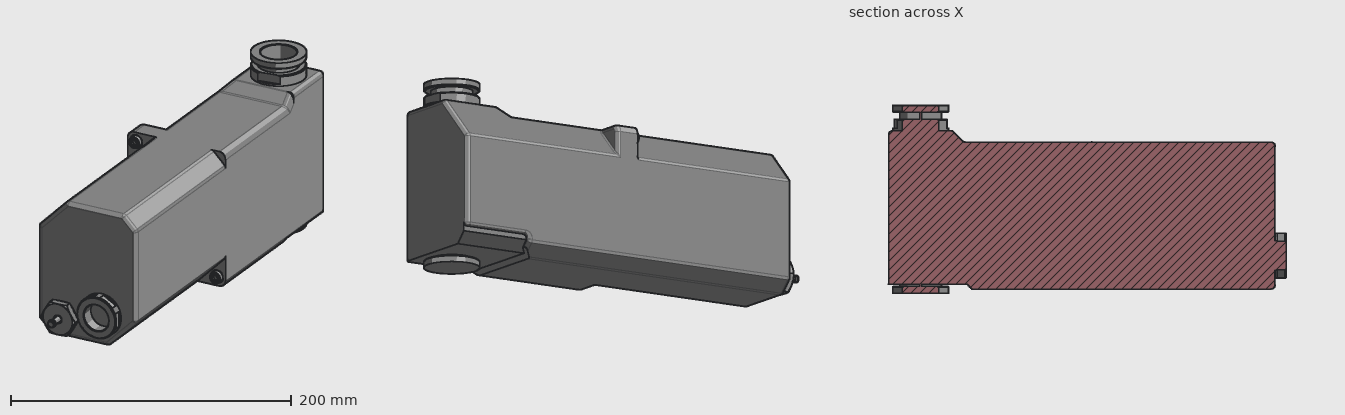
import cadquery as cq
import math

WIDTH = 80.0
LENGTH = 275.5
HEIGHT = 105.0
TALL_HEIGHT = 113.0

ROOT_RADIUS = 1.0
STEP_HEAD_RADIUS = 1.0
STEP_FOOT_RADIUS = 2.0
COVER_LENGTH = 130.5
LUG_BACK = 148.0
BIG_CHAMFER = 23.0
COVER_CHAMFER = 10.5
LOWER_CHAMFER = 10.0
STEP_FOOT = 222.0

EDGE_RADIUS = 3.0
CORNER_RADIUS = 5.3
TALL_CORNER_RADIUS = 3.5

RECESS_DEPTH = 3.5
RECESS_START = 215.8
RECESS_WALL = 222.5
RECESS_TOP = 15.2
RECESS_LIP_RADIUS = 2.5

HEX_SIDES = 6
HALF_HEX_ANGLE = 180 / HEX_SIDES

SCREW_INSET = 7.0
SCREW_HEAD_DIAMETER = 8.5
SCREW_HEAD_HEIGHT = 3.5
SCREW_SEAT_DIAMETER = 9.8
SCREW_SEAT_DEPTH = 1.0
SCREW_HEAD_CHAMFER = 0.7
SCREW_SOCKET_DIAMETER = 5.0
SCREW_SOCKET_DEPTH = 2.5

GLAND_X = 55.0
GLAND_Y = LENGTH - 23.0
GLAND_DIAMETER = 40.0
GLAND_NECK_DIAMETER = 30.0
GLAND_BORE = 26.0
GLAND_BORE_DEPTH = 22.0
BORE_CHAMFER = 0.5
GLAND_TOP = 131.0
GLAND_BOTTOM = -2.86
FLANGE_HEIGHT = 5.0
FLANGE_CHAMFER = 0.8
COLLAR_HEIGHT = 8.2
COLLAR_FLAT_START = 1.5
COLLAR_TURN = 7.0
COLLAR_FLAT_DISTANCE = 18.0

PLUG_X = 52.0
PLUG_Z = 24.0
PLUG_DIAMETER = 32.0
PLUG_LENGTH = 8.0
PLUG_BORE = 20.0
PLUG_BORE_DEPTH = 10.0
PLUG_ACROSS_FLATS = 29.8
PLUG_FLAT_START = 1.5
PLUG_FLAT_LENGTH = 5.5
PLUG_CHAMFER = 0.7

HEX_X = 20.0
HEX_Z = 15.6
HEX_ACROSS_FLATS = 24.0
HEX_WASHER_DIAMETER = 22.6
HEX_WASHER_THICKNESS = 0.8
HEX_FACE = 7.0
HEX_CHAMFER_DIAMETER = 23.8
HEX_CHAMFER_HEIGHT = 1.0
PIN_SEAT_DIAMETER = 6.3
PIN_SEAT_DEPTH = 1.0
PIN_DIAMETER = 4.7
PIN_HEAD_DIAMETER = 5.5
PIN_HEAD_LENGTH = 3.0
PIN_TIP_CHAMFER = 1.2
PIN_LENGTH = 17.5

SLOPE_BASE = HEIGHT - BIG_CHAMFER
STEP_HEAD = STEP_FOOT + TALL_HEIGHT - HEIGHT


def prism_along_y(points, start, end):
    """Extrude an XZ outline from Y = start to Y = end."""
    return cq.Workplane("XZ", origin=(0, start, 0)).polyline(points).close().extrude(start - end)


def cylinder_forward(x, z, diameter, start, length):
    """Cylinder along -Y that starts at Y = start."""
    return cq.Workplane("XZ", origin=(x, start, z)).circle(diameter / 2).extrude(length)


def round_edges(solid, radius, midpoints):
    """Fillet the edges whose middles are nearest to the given points."""
    picked = [solid.edges(cq.selectors.NearestToPointSelector(point)).val() for point in midpoints]
    return solid.newObject(picked).fillet(radius)


def make_block():
    """Housing with its slopes, before rounding."""
    side = [
        (0, 0), (LENGTH, 0), (LENGTH, TALL_HEIGHT), (STEP_HEAD, TALL_HEIGHT), (STEP_FOOT, HEIGHT), (0, HEIGHT),
    ]
    block = cq.Workplane("YZ").polyline(side).close().extrude(WIDTH)
    tall_run = TALL_HEIGHT - SLOPE_BASE
    upper_left = [(0, SLOPE_BASE), (tall_run, TALL_HEIGHT), (0, TALL_HEIGHT)]
    lower_left = [(0, 0), (LOWER_CHAMFER, 0), (0, LOWER_CHAMFER)]
    upper_right = [(WIDTH - COVER_CHAMFER, HEIGHT), (WIDTH, HEIGHT), (WIDTH, HEIGHT - COVER_CHAMFER)]
    lower_right = [(WIDTH - BIG_CHAMFER, 0), (WIDTH, 0), (WIDTH, BIG_CHAMFER)]
    block = block.cut(prism_along_y(lower_left, 0, LENGTH))
    block = block.cut(prism_along_y(upper_left, LUG_BACK, LENGTH))
    for outline in (upper_left, upper_right, lower_right):
        block = block.cut(prism_along_y(outline, 0, COVER_LENGTH))
    return block


def round_block(block, corner_radius):
    """Round the corners, the lugs and all long edges of the housing."""
    slope_middle = BIG_CHAMFER / 2
    step_middle = (STEP_FOOT + STEP_HEAD) / 2
    step_height = (HEIGHT + TALL_HEIGHT) / 2
    slope_top = TALL_HEIGHT - SLOPE_BASE
    step_slope_x = (BIG_CHAMFER + slope_top) / 2
    cover_middle = COVER_LENGTH / 2
    lug_middle = (COVER_LENGTH + LUG_BACK) / 2
    tall_middle = (STEP_HEAD + LENGTH) / 2
    side_middle = (LOWER_CHAMFER + SLOPE_BASE) / 2
    right_middle = (BIG_CHAMFER + HEIGHT - COVER_CHAMFER) / 2

    block = round_edges(block, corner_radius, [
        (WIDTH, (COVER_LENGTH + STEP_FOOT) / 2, HEIGHT),
        (WIDTH, step_middle, step_height),
        (WIDTH, tall_middle, TALL_HEIGHT),
        (0, lug_middle, HEIGHT),
        (WIDTH, (COVER_LENGTH + LENGTH) / 2, 0),
    ])
    front_edges = [
        (0, 0, side_middle),
        (LOWER_CHAMFER / 2, 0, LOWER_CHAMFER / 2),
        ((LOWER_CHAMFER + WIDTH - BIG_CHAMFER) / 2, 0, 0),
        (WIDTH - slope_middle, 0, slope_middle),
        (WIDTH, 0, right_middle),
        (WIDTH - COVER_CHAMFER / 2, 0, HEIGHT - COVER_CHAMFER / 2),
        ((BIG_CHAMFER + WIDTH - COVER_CHAMFER) / 2, 0, HEIGHT),
        (slope_middle, 0, HEIGHT - slope_middle),
    ]
    cover_edges = [
        (0, cover_middle, SLOPE_BASE),
        (BIG_CHAMFER, cover_middle, HEIGHT),
        (WIDTH - COVER_CHAMFER, cover_middle, HEIGHT),
        (WIDTH, cover_middle, HEIGHT - COVER_CHAMFER),
        (WIDTH, cover_middle, BIG_CHAMFER),
        (WIDTH - BIG_CHAMFER, cover_middle, 0),
        (0, LENGTH / 2, LOWER_CHAMFER),
        (LOWER_CHAMFER, LENGTH / 2, 0),
    ]
    rear_edges = [
        (0, LENGTH, side_middle),
        (slope_top / 2, LENGTH, SLOPE_BASE + slope_top / 2),
        ((slope_top + WIDTH) / 2, LENGTH, TALL_HEIGHT),
        (WIDTH, LENGTH, TALL_HEIGHT / 2),
    ]
    tall_edges = [
        (0, (LUG_BACK + LENGTH) / 2, SLOPE_BASE),
        (BIG_CHAMFER, (LUG_BACK + STEP_FOOT) / 2, HEIGHT),
        (step_slope_x, step_middle, step_height),
        (slope_top, tall_middle, TALL_HEIGHT),
    ]
    lug_edges = [
        (0, LUG_BACK, (SLOPE_BASE + HEIGHT) / 2),
        (slope_middle, LUG_BACK, HEIGHT),
    ]
    block = round_edges(block, EDGE_RADIUS, front_edges + cover_edges + rear_edges + tall_edges + lug_edges)
    block = round_edges(block, STEP_HEAD_RADIUS, [((slope_top + WIDTH) / 2, STEP_HEAD, TALL_HEIGHT)])
    block = round_edges(block, STEP_FOOT_RADIUS, [((BIG_CHAMFER + WIDTH) / 2, STEP_FOOT, HEIGHT)])
    cover_root = (slope_middle, COVER_LENGTH, HEIGHT - slope_middle)
    lug_back_root = (slope_middle, LUG_BACK, HEIGHT - slope_middle)
    block = round_edges(block, ROOT_RADIUS, [cover_root, lug_back_root])
    return block


def make_housing():
    """Rounded housing whose tall end has a tighter upper right corner than the rest."""
    housing = round_block(make_block(), CORNER_RADIUS)
    tighter = round_block(make_block(), TALL_CORNER_RADIUS)
    tall_end = cq.Workplane("XY", origin=(0, STEP_HEAD, HEIGHT)).box(
        WIDTH, LENGTH - STEP_HEAD, TALL_HEIGHT - HEIGHT, centered=False)
    return housing.union(tighter.intersect(tall_end))


def cut_recess(body):
    """Set back the underside, the lower slope and the foot of the left side below the tall end."""
    slope_end = RECESS_WALL - RECESS_START
    side = [
        (RECESS_START - RECESS_DEPTH, -RECESS_DEPTH), (RECESS_WALL, slope_end), (RECESS_WALL, RECESS_TOP),
        (LENGTH, RECESS_TOP), (LENGTH, -RECESS_DEPTH),
    ]
    cutter = cq.Workplane("YZ").polyline(side).close().extrude(WIDTH)
    cutter = cutter.edges("|X").edges(cq.selectors.NearestToPointSelector((WIDTH / 2, RECESS_WALL, RECESS_TOP)))
    cutter = cutter.fillet(EDGE_RADIUS)
    inset_chamfer = LOWER_CHAMFER + RECESS_DEPTH * (math.sqrt(2) - 1)
    kept = [
        (inset_chamfer, RECESS_DEPTH), (WIDTH, RECESS_DEPTH), (WIDTH, HEIGHT), (RECESS_DEPTH, HEIGHT),
        (RECESS_DEPTH, inset_chamfer),
    ]
    body = body.cut(cutter.cut(prism_along_y(kept, 0, LENGTH)))
    return round_edges(body, RECESS_LIP_RADIUS, [
        (0, (RECESS_WALL + LENGTH) / 2, RECESS_TOP),
        (0, RECESS_WALL, (LOWER_CHAMFER + RECESS_TOP) / 2),
    ])


def gland_cylinder(diameter, z_low, z_high):
    """Upright cylinder on the gland axis."""
    return cq.Workplane("XY", origin=(GLAND_X, GLAND_Y, z_low)).circle(diameter / 2).extrude(z_high - z_low)


def add_top_gland(body):
    """Collar with two flats, neck and flange on top of the tall end, with a blind bore."""
    collar_top = TALL_HEIGHT + COLLAR_HEIGHT
    ring_size = 2 * GLAND_DIAMETER
    flats = (
        cq.Workplane("XY", origin=(GLAND_X, GLAND_Y, TALL_HEIGHT + COLLAR_FLAT_START))
        .transformed(rotate=(0, 0, COLLAR_TURN))
        .rect(ring_size, ring_size).rect(ring_size, 2 * COLLAR_FLAT_DISTANCE).extrude(COLLAR_HEIGHT)
    )
    collar = gland_cylinder(GLAND_DIAMETER, TALL_HEIGHT, collar_top)
    collar = collar.faces(">Z").chamfer(FLANGE_CHAMFER).cut(flats)
    neck = gland_cylinder(GLAND_NECK_DIAMETER, TALL_HEIGHT, GLAND_TOP)
    rim = gland_cylinder(GLAND_DIAMETER, GLAND_TOP - FLANGE_HEIGHT, GLAND_TOP)
    rim = rim.faces("<Z").chamfer(FLANGE_CHAMFER)
    bore = gland_cylinder(GLAND_BORE, GLAND_TOP - GLAND_BORE_DEPTH, GLAND_TOP)
    mouth = (
        cq.Workplane("XY", origin=(GLAND_X, GLAND_Y, GLAND_TOP))
        .circle(GLAND_BORE / 2 + BORE_CHAMFER).extrude(-BORE_CHAMFER, taper=45)
    )
    return body.union(collar).union(neck).union(rim).cut(bore).cut(mouth)


def add_bottom_gland(body):
    """Neck and flange below the recess."""
    neck = gland_cylinder(GLAND_NECK_DIAMETER, GLAND_BOTTOM, RECESS_DEPTH)
    rim = gland_cylinder(GLAND_DIAMETER, GLAND_BOTTOM, GLAND_BOTTOM + FLANGE_HEIGHT)
    rim = rim.faces(">Z").chamfer(FLANGE_CHAMFER)
    return body.union(neck).union(rim)


def add_cover_screw(body, x, z):
    """Socket head screw in a counterbore on the front face of a lug."""
    seat = cylinder_forward(x, z, SCREW_SEAT_DIAMETER, COVER_LENGTH + SCREW_SEAT_DEPTH, SCREW_SEAT_DEPTH)
    head = cylinder_forward(
        x, z, SCREW_HEAD_DIAMETER, COVER_LENGTH + SCREW_SEAT_DEPTH, SCREW_SEAT_DEPTH + SCREW_HEAD_HEIGHT)
    head = head.faces("<Y").chamfer(SCREW_HEAD_CHAMFER)
    front = COVER_LENGTH - SCREW_HEAD_HEIGHT
    socket = (
        cq.Workplane("XZ", origin=(x, front, z))
        .polygon(HEX_SIDES, SCREW_SOCKET_DIAMETER).extrude(-SCREW_SOCKET_DEPTH)
    )
    return body.cut(seat).union(head).cut(socket)


def add_round_plug(body):
    """Round plug with six flats and a blind bore."""
    plug = cylinder_forward(PLUG_X, PLUG_Z, PLUG_DIAMETER, 0, PLUG_LENGTH).faces("<Y").chamfer(PLUG_CHAMFER)
    band = (
        cq.Workplane("XZ", origin=(PLUG_X, -PLUG_FLAT_START, PLUG_Z)).circle(PLUG_DIAMETER)
        .extrude(PLUG_FLAT_LENGTH)
    )
    hexagon = (
        cq.Workplane("XZ", origin=(PLUG_X, 0, PLUG_Z))
        .polygon(HEX_SIDES, PLUG_ACROSS_FLATS, circumscribed=True).extrude(PLUG_LENGTH)
    )
    bore = cylinder_forward(PLUG_X, PLUG_Z, PLUG_BORE, PLUG_BORE_DEPTH - PLUG_LENGTH, PLUG_BORE_DEPTH)
    mouth = (
        cq.Workplane("XZ", origin=(PLUG_X, -PLUG_LENGTH, PLUG_Z))
        .circle(PLUG_BORE / 2 + BORE_CHAMFER).extrude(-BORE_CHAMFER, taper=45)
    )
    return body.union(plug.cut(band.cut(hexagon))).cut(bore).cut(mouth)


def add_hex_plug(body):
    """Hexagonal plug on a thin washer, with a headed pin."""
    hex_height = HEX_FACE - HEX_WASHER_THICKNESS
    washer = cylinder_forward(HEX_X, HEX_Z, HEX_WASHER_DIAMETER, 0, HEX_WASHER_THICKNESS)
    hexagon = (
        cq.Workplane("XZ", origin=(HEX_X, -HEX_WASHER_THICKNESS, HEX_Z))
        .transformed(rotate=(0, 0, HALF_HEX_ANGLE))
        .polygon(HEX_SIDES, HEX_ACROSS_FLATS, circumscribed=True).extrude(hex_height)
    )
    corner_diameter = HEX_ACROSS_FLATS / math.cos(math.radians(HALF_HEX_ANGLE))
    turned = cylinder_forward(HEX_X, HEX_Z, corner_diameter, -HEX_WASHER_THICKNESS, hex_height)
    turned = turned.faces("<Y or >Y").chamfer(HEX_CHAMFER_HEIGHT, (corner_diameter - HEX_CHAMFER_DIAMETER) / 2)
    seat_floor = PIN_SEAT_DEPTH - HEX_FACE
    pin = cylinder_forward(HEX_X, HEX_Z, PIN_DIAMETER, seat_floor, PIN_LENGTH + seat_floor)
    seat = cylinder_forward(HEX_X, HEX_Z, PIN_SEAT_DIAMETER, seat_floor, PIN_SEAT_DEPTH)
    head = cylinder_forward(HEX_X, HEX_Z, PIN_HEAD_DIAMETER, PIN_HEAD_LENGTH - PIN_LENGTH, PIN_HEAD_LENGTH)
    head = head.faces("<Y").chamfer(PIN_TIP_CHAMFER)
    return body.union(washer).union(hexagon.intersect(turned)).cut(seat).union(pin).union(head)


result = make_housing()
result = cut_recess(result)
result = add_top_gland(result)
result = add_bottom_gland(result)
result = add_cover_screw(result, SCREW_INSET, HEIGHT - SCREW_INSET)
result = add_cover_screw(result, WIDTH - SCREW_INSET, SCREW_INSET)
result = add_round_plug(result)
result = add_hex_plug(result)